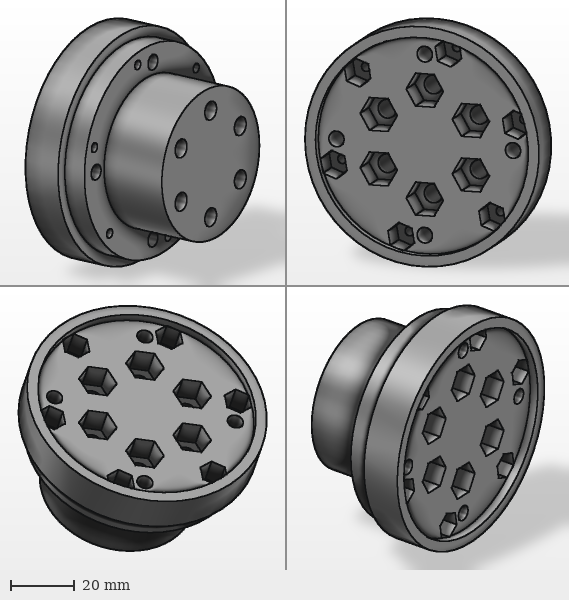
import cadquery as cq
import math

total_length = 43.7
flange_diameter = 77.0
flange_length = 13.0
collar_diameter = 70.1
collar_length = 7.8
boss_diameter = 50.0
shoulder_x = flange_length + collar_length
boss_length = total_length - shoulder_x

recess_diameter = 70.0
recess_depth = 3.0

hex_pocket_depth = 9.0
hexagon_sides = 6

plain_hole_count = 4
plain_hole_diameter = 5.0
plain_hole_circle_radius = 29.0
plain_hole_first_angle = 0.0

large_bolt_count = 6
large_bolt_diameter = 6.0
large_bolt_circle_radius = 17.5
large_bolt_first_angle = 30.0
large_hex_across_corners = 12.2
large_hex_corner_angle = 0.0

small_bolt_count = 6
small_bolt_diameter = 3.0
small_bolt_circle_radius = 31.0
small_bolt_first_angle = 44.5
small_hex_across_corners = 9.25
small_hex_corner_angle = 20.4


def cylinder_along_x(diameter, start_x, length):
    """Cylinder on the part axis, from start_x towards +X."""
    return cq.Workplane("YZ", origin=(start_x, 0, 0)).circle(diameter / 2).extrude(length)


def ring_points(count, radius, first_angle):
    """Evenly spaced (Y, Z) points, with angles measured from +Y towards +Z."""
    angles = [math.radians(first_angle + 360.0 * i / count) for i in range(count)]
    return [(radius * math.cos(angle), radius * math.sin(angle)) for angle in angles]


def through_holes(points, diameter):
    """Round cutters along the full length of the part."""
    return cq.Workplane("YZ").pushPoints(points).circle(diameter / 2).extrude(total_length)


def hex_pockets(points, across_corners, corner_angle):
    """Hexagonal cutters sunk into the recess floor, all turned the same way."""
    corners = ring_points(hexagon_sides, across_corners / 2, corner_angle)
    floor = cq.Workplane("YZ", origin=(recess_depth, 0, 0))
    pockets = cq.Workplane("YZ")
    for center_y, center_z in points:
        outline = [(center_y + y, center_z + z) for y, z in corners]
        pockets = pockets.add(floor.polyline(outline).close().extrude(hex_pocket_depth))
    return pockets.combine()


body = cylinder_along_x(flange_diameter, 0, flange_length)
body = body.union(cylinder_along_x(collar_diameter, flange_length, collar_length))
body = body.union(cylinder_along_x(boss_diameter, shoulder_x, boss_length))
body = body.cut(cylinder_along_x(recess_diameter, 0, recess_depth))

plain_points = ring_points(plain_hole_count, plain_hole_circle_radius, plain_hole_first_angle)
body = body.cut(through_holes(plain_points, plain_hole_diameter))

large_points = ring_points(large_bolt_count, large_bolt_circle_radius, large_bolt_first_angle)
body = body.cut(through_holes(large_points, large_bolt_diameter))
body = body.cut(hex_pockets(large_points, large_hex_across_corners, large_hex_corner_angle))

small_points = ring_points(small_bolt_count, small_bolt_circle_radius, small_bolt_first_angle)
body = body.cut(through_holes(small_points, small_bolt_diameter))
body = body.cut(hex_pockets(small_points, small_hex_across_corners, small_hex_corner_angle))

result = body